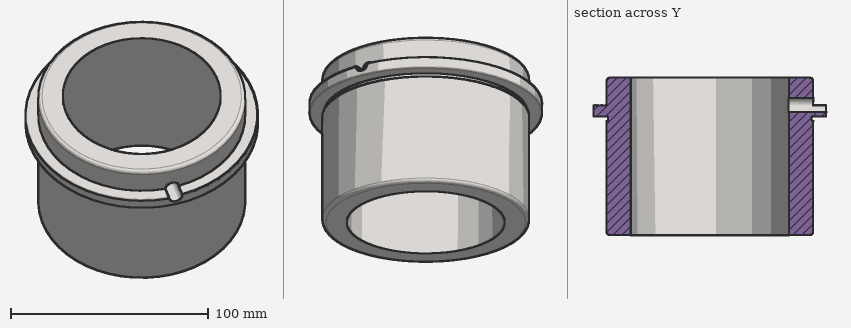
import cadquery as cq

HEIGHT = 80.0
BORE_DIAMETER = 80.0
BODY_DIAMETER = 105.0
END_ROUND_RADIUS = 2.0

FLANGE_DIAMETER = 118.0
FLANGE_THICKNESS = 6.0
FLANGE_TOP_Z = 66.0
FLANGE_EDGE_RADIUS = 0.5

RELIEF_WIDTH = 2.0
RELIEF_DEPTH = 0.75
RELIEF_CORNER_RADIUS = 0.5

RADIAL_HOLE_DIAMETER = 7.0

BORE_RADIUS = BORE_DIAMETER / 2
BODY_RADIUS = BODY_DIAMETER / 2
FLANGE_RADIUS = FLANGE_DIAMETER / 2
FLANGE_BOTTOM_Z = FLANGE_TOP_Z - FLANGE_THICKNESS
RELIEF_RADIUS = BODY_RADIUS - RELIEF_DEPTH


def make_body():
    """Cylindrical body with rounded outer edges at both ends."""
    body = cq.Workplane("XY").circle(BODY_RADIUS).extrude(HEIGHT)
    return body.faces("<Z or >Z").edges().fillet(END_ROUND_RADIUS)


def make_flange():
    """Locating flange with lightly rounded rims."""
    flange = (
        cq.Workplane("XY")
        .workplane(offset=FLANGE_BOTTOM_Z)
        .circle(FLANGE_RADIUS)
        .extrude(FLANGE_THICKNESS)
    )
    return flange.faces("<Z or >Z").edges().fillet(FLANGE_EDGE_RADIUS)


def make_relief():
    """Ring that cuts the relief groove below the flange, with a rounded lower inner corner."""
    relief_bottom_z = FLANGE_BOTTOM_Z - RELIEF_WIDTH
    relief = (
        cq.Workplane("XY")
        .workplane(offset=relief_bottom_z)
        .circle(BODY_RADIUS)
        .circle(RELIEF_RADIUS)
        .extrude(RELIEF_WIDTH)
    )
    lower_inner_edge = cq.selectors.RadiusNthSelector(0)
    return relief.faces("<Z").edges(lower_inner_edge).fillet(RELIEF_CORNER_RADIUS)


def make_bore():
    """Straight bore through the full height."""
    return cq.Workplane("XY").circle(BORE_RADIUS).extrude(HEIGHT)


def make_radial_hole():
    """Hole through the +X wall, centred on the flange top so it grooves the flange."""
    return (
        cq.Workplane("YZ")
        .center(0, FLANGE_TOP_Z)
        .circle(RADIAL_HOLE_DIAMETER / 2)
        .extrude(FLANGE_RADIUS)
    )


result = (
    make_body()
    .cut(make_relief())
    .union(make_flange())
    .cut(make_bore())
    .cut(make_radial_hole())
)